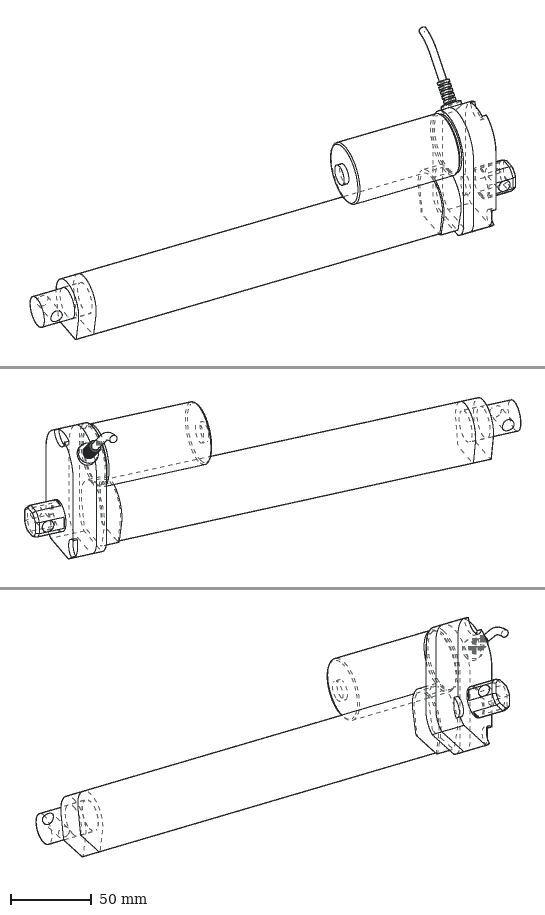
import cadquery as cq
import math


gearbox_width = 42.5
gearbox_depth = 22.5
front_plate_thickness = 7.0
gearbox_bottom_z = -24.0
corner_start_z = -14.0
corner_mid_point = (19.0, -19.5)
bottom_half_width = 13.8
upper_notch_diameter = 16.5
lower_notch_diameter = 14.0
notch_depth = 3.0
lower_notch_z = -13.8

clevis_length = 20.0
clevis_diameter = 20.5
clevis_across_flats = 18.7
clevis_end_chamfer = 1.0
clevis_end_chamfer_length = 2.3
clevis_flange_thickness = 1.0
clevis_hole_from_face = 11.8
pin_hole_diameter = 8.0

motor_axis_z = 37.5
motor_diameter = 40.0
motor_neck_diameter = 38.0
motor_neck_length = 1.3
motor_length = 72.0
motor_boss_diameter = 13.0
motor_boss_length = 3.3

tube_radius = 15.7
tube_side_start_z = -3.0
collar_radius = 18.0
collar_side_start_z = -4.3
collar_length = 11.8
tube_bottom_z = -20.5
tube_edge_radius = 1.5
tube_front_y = -252.2
cap_length = 12.0

rod_diameter = 20.0
rod_bore_diameter = 20.5
overall_length = 328.0
rod_hole_from_end = 8.5

cable_y = 11.0
cable_tilt = 45.0
cable_end_tilt = 7.0
cable_axis_offset = 2.5
cable_diameter = 5.0
cable_bend_start = 57.5
cable_bend_radius = 26.2
grommet_diameter = 13.0
grommet_root = 17.7
grommet_face = 23.5
relief_diameter = 8.0
relief_core_diameter = 6.0
relief_end = 38.7
rib_count = 5
rib_gap = 1.3

rod_end_y = gearbox_depth + clevis_length - overall_length
rear_body_depth = gearbox_depth - front_plate_thickness


def plane_facing_front(y, z=0.0):
    """Workplane at the given Y, with local axes X and Z, that extrudes towards -Y."""
    return cq.Workplane("XZ", origin=(0, y, z))


def cross_hole(y):
    """Pin hole along X through the rod axis."""
    plane = cq.Workplane("YZ").center(y, 0)
    return plane.circle(pin_hole_diameter / 2).extrude(gearbox_width, both=True)


def gearbox_slab(rear_y, depth):
    """Slice of the gearbox outline: round top about the motor axis, cut-off bottom corners."""
    half = gearbox_width / 2
    mid_x, mid_z = corner_mid_point
    return (
        plane_facing_front(rear_y)
        .moveTo(-half, motor_axis_z)
        .threePointArc((0, motor_axis_z + half), (half, motor_axis_z))
        .lineTo(half, corner_start_z)
        .threePointArc((mid_x, mid_z), (bottom_half_width, gearbox_bottom_z))
        .lineTo(-bottom_half_width, gearbox_bottom_z)
        .threePointArc((-mid_x, mid_z), (-half, corner_start_z))
        .close()
        .extrude(depth)
    )


def tapered_profile(rear_y, length, radius, side_start_z):
    """Bar with a round top whose sides run on as tangents to a flat bottom with rounded edges."""
    side_start_x = math.sqrt(radius**2 - side_start_z**2)
    side_slope = -side_start_z / side_start_x
    bottom_x = side_start_x - (side_start_z - tube_bottom_z) * side_slope
    return (
        plane_facing_front(rear_y)
        .moveTo(-side_start_x, side_start_z)
        .threePointArc((0, radius), (side_start_x, side_start_z))
        .lineTo(bottom_x, tube_bottom_z)
        .lineTo(-bottom_x, tube_bottom_z)
        .close()
        .extrude(length)
        .edges("|Y and <Z")
        .fillet(tube_edge_radius)
    )


def make_clevis():
    """Round lug with four flats, a chamfered end, a thin base flange and a pin hole."""
    end_y = gearbox_depth + clevis_length
    round_bar = (
        plane_facing_front(end_y)
        .circle(clevis_diameter / 2)
        .extrude(clevis_length)
        .faces(">Y")
        .chamfer(clevis_end_chamfer_length, clevis_end_chamfer)
    )
    square_bar = (
        plane_facing_front(end_y)
        .rect(clevis_across_flats, clevis_across_flats)
        .extrude(clevis_length)
        .faces(">Y")
        .chamfer(clevis_end_chamfer_length, clevis_end_chamfer)
    )
    lug = round_bar.intersect(square_bar)
    flange = (
        plane_facing_front(gearbox_depth + clevis_flange_thickness)
        .circle(clevis_diameter / 2)
        .extrude(clevis_flange_thickness)
    )
    hole = cross_hole(gearbox_depth + clevis_hole_from_face)
    return lug.union(flange).cut(hole)


def make_rear_housing():
    """Rear part of the gearbox with three screw notches and the clevis."""
    half = gearbox_width / 2
    upper_notch = (
        plane_facing_front(gearbox_depth, motor_axis_z + half)
        .circle(upper_notch_diameter / 2)
        .extrude(notch_depth)
    )
    lower_notches = (
        plane_facing_front(gearbox_depth, lower_notch_z)
        .pushPoints([(-half, 0), (half, 0)])
        .circle(lower_notch_diameter / 2)
        .extrude(notch_depth)
    )
    slab = gearbox_slab(gearbox_depth, rear_body_depth)
    return slab.cut(upper_notch).cut(lower_notches).union(make_clevis())


def make_motor():
    """Motor can with a narrower neck at the gearbox, chamfered rims and an end boss."""
    edge_chamfer = (motor_diameter - motor_neck_diameter) / 2
    neck = plane_facing_front(0, motor_axis_z).circle(motor_neck_diameter / 2).extrude(motor_neck_length)
    can = (
        plane_facing_front(-motor_neck_length, motor_axis_z)
        .circle(motor_diameter / 2)
        .extrude(motor_length - motor_neck_length)
        .edges()
        .chamfer(edge_chamfer)
    )
    boss = (
        plane_facing_front(-motor_length, motor_axis_z)
        .circle(motor_boss_diameter / 2)
        .extrude(motor_boss_length)
    )
    return neck.union(can).union(boss)


def make_front_housing():
    """Front plate of the gearbox with the tube collar, which clears the motor can."""
    plate = gearbox_slab(front_plate_thickness, front_plate_thickness)
    collar = tapered_profile(0, collar_length, collar_radius, collar_side_start_z)
    motor_clearance = (
        plane_facing_front(0, motor_axis_z)
        .circle(motor_diameter / 2)
        .extrude(collar_length)
    )
    return plate.union(collar.cut(motor_clearance))


def make_tube():
    length = -collar_length - tube_front_y
    return tapered_profile(-collar_length, length, tube_radius, tube_side_start_z)


def make_end_cap():
    """Short continuation of the tube profile, bored for the rod."""
    cap = tapered_profile(tube_front_y, cap_length, tube_radius, tube_side_start_z)
    bore = plane_facing_front(tube_front_y).circle(rod_bore_diameter / 2).extrude(cap_length)
    return cap.cut(bore)


def make_rod():
    """Rod from the front of the tube through the end cap, with a pin hole."""
    rod = plane_facing_front(tube_front_y).circle(rod_diameter / 2).extrude(tube_front_y - rod_end_y)
    return rod.cut(cross_hole(rod_end_y + rod_hole_from_end))


def make_cable(rear_housing, front_housing):
    """Cable with its grommet seated on the round gearbox top and a ribbed strain relief."""
    tilt = math.radians(cable_tilt)
    end_tilt = math.radians(cable_end_tilt)
    along = (-math.cos(tilt), math.sin(tilt))
    offset_x = -cable_axis_offset * math.sin(tilt)
    offset_z = motor_axis_z - cable_axis_offset * math.cos(tilt)

    def axis_point(distance):
        return (offset_x + distance * along[0], offset_z + distance * along[1])

    def bend_point(angle):
        start_x, start_z = axis_point(cable_bend_start)
        return (
            start_x - cable_bend_radius * (math.sin(tilt) - math.sin(angle)),
            start_z + cable_bend_radius * (math.cos(angle) - math.cos(tilt)),
        )

    def plane_on_axis(distance):
        x, z = axis_point(distance)
        return cq.Workplane(cq.Plane((x, cable_y, z), (0, 1, 0), (along[0], 0, along[1])))

    def disc(diameter, start, end):
        return plane_on_axis(start).circle(diameter / 2).extrude(end - start)

    path = (
        plane_facing_front(cable_y)
        .moveTo(*axis_point(grommet_root))
        .lineTo(*axis_point(cable_bend_start))
        .threePointArc(bend_point((tilt + end_tilt) / 2), bend_point(end_tilt))
    )
    cable = plane_on_axis(grommet_root).circle(cable_diameter / 2).sweep(path)
    cable = cable.union(disc(grommet_diameter, grommet_root, grommet_face))
    cable = cable.union(disc(relief_core_diameter, grommet_face, relief_end))

    rib_pitch = (relief_end - grommet_face) / rib_count
    for index in range(rib_count):
        rib_end = relief_end - index * rib_pitch
        cable = cable.union(disc(relief_diameter, rib_end - rib_pitch + rib_gap, rib_end))
    return cable.cut(rear_housing).cut(front_housing)


rear_housing = make_rear_housing()
front_housing = make_front_housing()
motor = make_motor()
tube = make_tube()
end_cap = make_end_cap()
rod = make_rod()
cable = make_cable(rear_housing, front_housing)

result = cq.Compound.makeCompound(
    [
        rear_housing.val(),
        front_housing.val(),
        motor.val(),
        tube.val(),
        end_cap.val(),
        rod.val(),
        cable.val(),
    ]
)